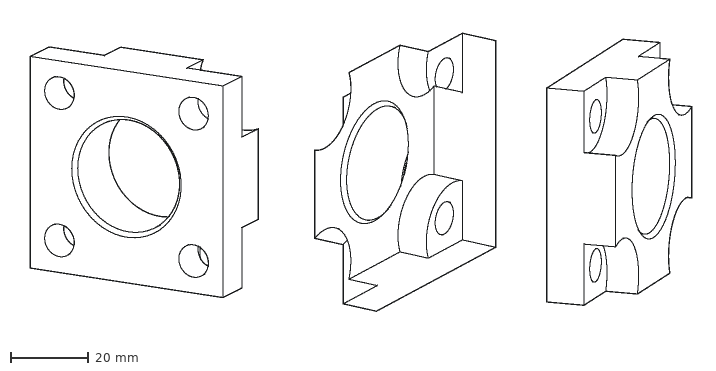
import cadquery as cq
import math

side = 57.15
flange_thickness = 10.3
depth = 19.05
hole_offset = 19.9
hole_diameter = 8.75
bore_diameter = 30.2
bore_chamfer = 1.15
relief_offset = 23.8
relief_mouth = 16.35

half_side = side / 2
relief_depth = depth - flange_thickness
relief_inset = half_side - relief_offset
relief_radius = math.hypot(relief_mouth - relief_inset, relief_inset)


def cylinders_along_y(centre_offset, diameter, start_y, length):
    """Four cylinders at the corners of a centred square, running toward +Y."""
    return (
        cq.Workplane("XZ", origin=(0, start_y, 0))
        .rect(2 * centre_offset, 2 * centre_offset, forConstruction=True)
        .vertices()
        .circle(diameter / 2)
        .extrude(-length)
    )


block = cq.Workplane("XZ").rect(side, side).extrude(-depth)
block = block.faces("<Y").workplane(centerOption="CenterOfBoundBox").hole(bore_diameter)
block = block.faces("<Y or >Y").edges("%CIRCLE").chamfer(bore_chamfer)

corner_reliefs = cylinders_along_y(
    relief_offset, 2 * relief_radius, flange_thickness, relief_depth
)

mounting_holes = cylinders_along_y(hole_offset, hole_diameter, 0, depth)

result = block.cut(corner_reliefs).cut(mounting_holes)